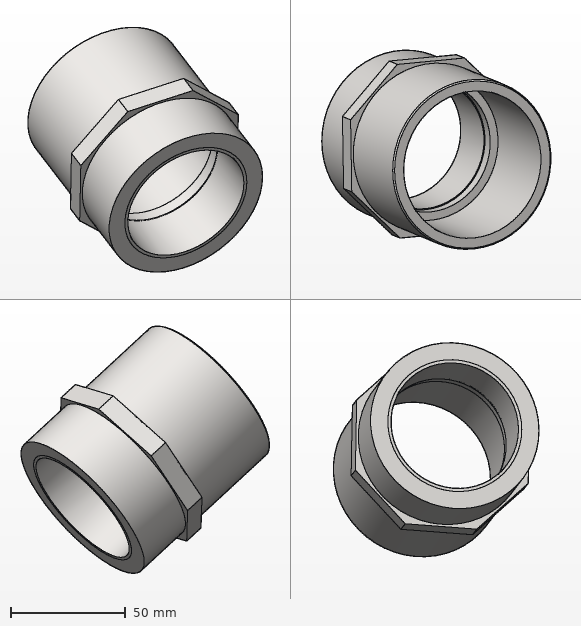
import cadquery as cq
import math

LENGTH = 78.7
TUBE_DIAMETER = 75.0
END_CHAMFER = 0.6

COLLAR_START = 44.0
COLLAR_END = 53.0
COLLAR_SIDES = 8
COLLAR_SPAN = 77.5
COLLAR_TWIST = -1.0

SOCKET_DIAMETER = 65.0
SOCKET_DEPTH = 47.2
PASSAGE_DIAMETER = 57.6
SLEEVE_DIAMETER = 59.6
SLEEVE_BORE = 56.7
SLEEVE_START = COLLAR_END


def cylinder(diameter, start, end):
    """Solid cylinder along X between two stations."""
    return cq.Workplane("YZ", origin=(start, 0, 0)).circle(diameter / 2).extrude(end - start)


def make_collar():
    """Slightly twisted octagonal prism whose corners reach the overall span."""
    half_sector = 180 / COLLAR_SIDES
    corner_diameter = COLLAR_SPAN / math.cos(math.radians(half_sector - abs(COLLAR_TWIST)))
    return (
        cq.Workplane("YZ", origin=(COLLAR_START, 0, 0))
        .polygon(COLLAR_SIDES, corner_diameter)
        .extrude(COLLAR_END - COLLAR_START)
        .rotate((0, 0, 0), (1, 0, 0), half_sector + COLLAR_TWIST)
    )


def make_housing():
    """Tube with collar, chamfered socket end and stepped through bore."""
    tube = cylinder(TUBE_DIAMETER, 0, LENGTH).faces("<X").chamfer(END_CHAMFER)
    return (
        tube.union(make_collar())
        .cut(cylinder(SOCKET_DIAMETER, 0, SOCKET_DEPTH))
        .cut(cylinder(PASSAGE_DIAMETER, SOCKET_DEPTH, SLEEVE_START))
        .cut(cylinder(SLEEVE_DIAMETER, SLEEVE_START, LENGTH))
    )


def make_thread_sleeve():
    """Plain sleeve filling the thread zone, from the passage to the far end."""
    outside = cylinder(SLEEVE_DIAMETER, SLEEVE_START, LENGTH)
    return outside.cut(cylinder(SLEEVE_BORE, SLEEVE_START, LENGTH))


housing = make_housing()
thread_sleeve = make_thread_sleeve()

result = cq.Compound.makeCompound([housing.val(), thread_sleeve.val()])